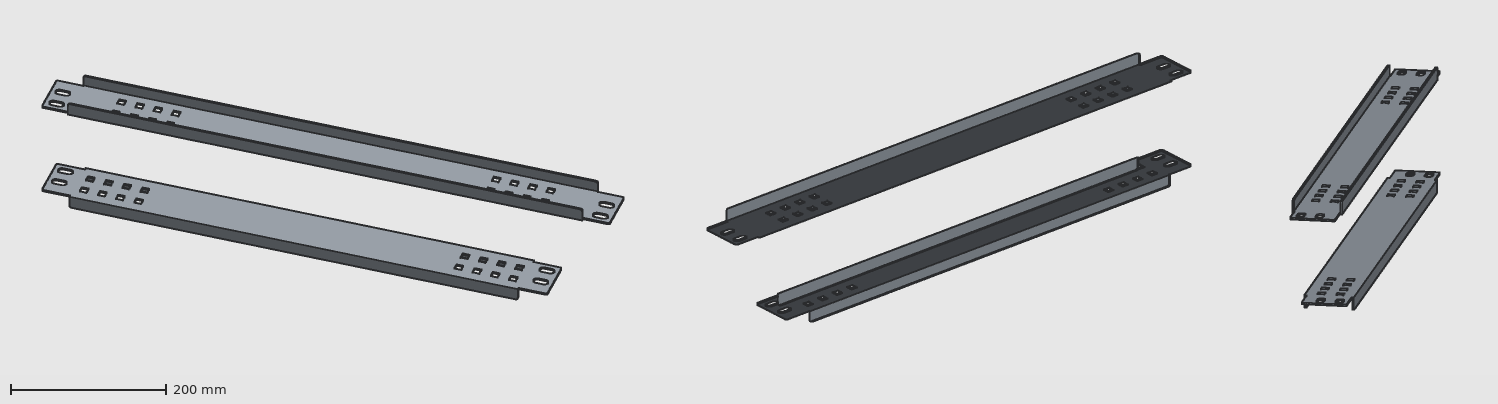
import cadquery as cq

overall_width = 65.0
overall_height = 167.0
sheet = 2.5
web_spacing = 132.0
flange_height = (overall_height - web_spacing) / 2
flange_corner_radius = 3.0
rail_ends = 2

web_end_width = 59.0
web_corner_radius = 2.0

hole_size = 9.0
hole_pitch = 25.0
hole_columns = 4
hole_rows = 2

slot_length = 20.0
slot_width = 10.0
slot_inset = 16.0
slot_pitch = 25.0
slots_per_end = 2
slot_pair_offset = 5.5

upper_length = 773.0
upper_flange_inset = 36.0
upper_hole_inset = 94.0

lower_length = 688.0
lower_flange_inset = 39.0
lower_hole_inset = 52.0


def web(length, flange_inset):
    """Flat plate with rounded ends, widened to the channel width between the flanges."""
    strip = (
        cq.Workplane("XY")
        .rect(length, web_end_width)
        .extrude(sheet)
        .edges("|Z")
        .fillet(web_corner_radius)
    )
    middle = cq.Workplane("XY").rect(length - 2 * flange_inset, overall_width).extrude(sheet)
    return strip.union(middle)


def flanges(length, flange_inset):
    """Two upright side walls with rounded upper corners."""
    wall = (
        cq.Workplane("XZ")
        .rect(length - 2 * flange_inset, flange_height)
        .extrude(sheet)
        .edges("|Y and >Z")
        .fillet(flange_corner_radius)
        .translate((0, overall_width / 2, flange_height / 2))
    )
    return wall.union(wall.mirror("XZ"))


def bolt_holes(length, hole_inset):
    """Cutters for a grid of square holes near both ends."""
    grid_centre = length / 2 - hole_inset - hole_pitch * (hole_columns - 1) / 2
    cutters = cq.Workplane("XY")
    for side in (-1, 1):
        grid = (
            cq.Workplane("XY")
            .center(side * grid_centre, 0)
            .rarray(hole_pitch, hole_pitch, hole_columns, hole_rows)
            .rect(hole_size, hole_size)
            .extrude(sheet)
        )
        cutters = cutters.add(grid)
    return cutters.combine()


def mounting_slots(length):
    """Cutters for the slot pairs, which sit off the centre line toward -Y."""
    slot_spacing = length - 2 * slot_inset
    return (
        cq.Workplane("XY")
        .center(0, -slot_pair_offset)
        .rarray(slot_spacing, slot_pitch, rail_ends, slots_per_end)
        .slot2D(slot_length, slot_width)
        .extrude(sheet)
    )


def rail(length, flange_inset, hole_inset):
    """Channel centred on X and Y, web underside at Z = 0 and flanges pointing up."""
    channel = web(length, flange_inset).union(flanges(length, flange_inset))
    return channel.cut(bolt_holes(length, hole_inset)).cut(mounting_slots(length))


upper_rail = rail(upper_length, upper_flange_inset, upper_hole_inset).translate((0, 0, web_spacing / 2))

lower_centre_x = (lower_length - upper_length) / 2
lower_rail = (
    rail(lower_length, lower_flange_inset, lower_hole_inset)
    .rotate((0, 0, 0), (1, 0, 0), 180)
    .translate((lower_centre_x, 0, -web_spacing / 2))
)

result = cq.Compound.makeCompound([upper_rail.val(), lower_rail.val()])